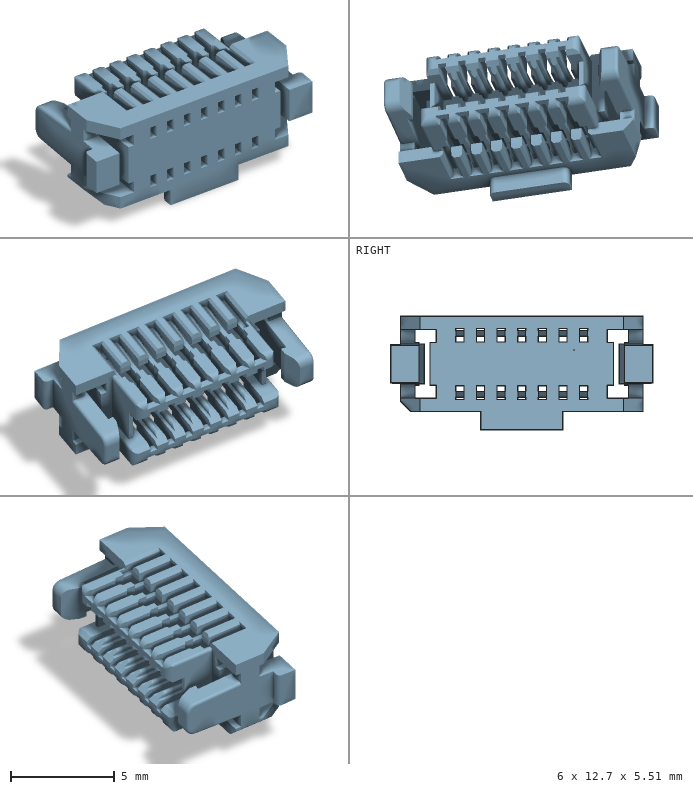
import cadquery as cq
contact_count = 7
pitch = 1.0
slot_positions = [(i - (contact_count - 1) / 2) * pitch for i in range(contact_count)]
land_positions = [y + pitch / 2 for y in slot_positions[:-1]]

overall_width = 12.71
overall_height = 5.51

rear_x = 6.0
front_x = 2.82
half_width = 5.885
half_height = 2.315
plate_inner_z = 1.66
rear_chamfer_x = 1.55
rear_chamfer_y = 0.95
key_chamfer = 0.5
core_half_width = 4.46
core_half_height = 1.045
neck_half_width = 4.15
wall_front_x = 3.13
wall_rear_x = 4.21
wall_inner_y = 5.165

arm_inner_y = 4.993
arm_tip_half_height = 0.92
arm_tip_radius = 0.47
arm_edge_radius = 0.15
arm_rear_half_height = 0.97
lug_half_height = 0.9
hook_inner_y = 4.715
hook_tip_y = 5.065
hook_start_x = 0.894
hook_end_x = 1.256
hook_root_x = 1.21
lug_front_x = 5.0
lug_outer_y = overall_width / 2
lug_radius = 0.2

shelf_tip_x = 0.25
shelf_outer_z = 1.975
shelf_inner_z = 0.92
upper_shelf_half_width = 3.85
lower_shelf_half_width = 4.15
tip_radius = 0.35
shelf_side_radius = 0.15
lip_height = 0.19
lip_length = 0.26
lower_inner_radius = 0.12
cheek_front_x = 1.2
cavity_half_width = 3.62

key_ridge_width = 0.28
key_ridge_height = 0.25

slot_width = 0.38
web_rear_x = shelf_tip_x + tip_radius
web_outer_z = shelf_outer_z - tip_radius
web_inner_z = 1.335
channel_inner_z = 1.065
mouth_width = 0.72
step_start_x = 1.93
step_end_x = 2.03
step_width = 0.65
tooth_end_x = 2.49
groove_width = 0.76
rib_bottom_z = 1.715
ramp_start_x = 3.41
end_ramp_start_x = 3.14
ramp_end_x = 4.35
ramp_drop = 0.15

pocket_rear_x = 4.855
pocket_half_width = 3.65
pocket_edge_chamfer = 0.15
bar_z = 1.74
bar_ramp_rise = 0.12
end_bar_inner_y = 3.0

rib_front_x = 2.985
rib_width = 0.54
rib_edge_chamfer = 0.12
rib_kink_z = 2.045
rib_setback = 0.06

foot_front_x = 5.245
foot_half_width = 1.99
foot_height = overall_height - 2 * half_height
foot_radius = 0.3


def box(x0, x1, y0, y1, z0, z1):
    """Box between two opposite corners."""
    return cq.Workplane("XY").box(x1 - x0, y1 - y0, z1 - z0, centered=False).translate((x0, y0, z0))


def side_prism(points, y0, y1):
    """Prism of an XZ outline between two Y positions."""
    return cq.Workplane("XZ").polyline(points).close().extrude(y0 - y1).translate((0, y0, 0))


def plan_prism(points, z0, z1):
    """Prism of an XY outline between two Z positions."""
    return cq.Workplane("XY").workplane(offset=z0).polyline(points).close().extrude(z1 - z0)


def end_prism(points, x0, x1):
    """Prism of a YZ outline between two X positions."""
    return cq.Workplane("YZ").workplane(offset=x0).polyline(points).close().extrude(x1 - x0)


def on_both_sides(shape, plane):
    """The shape together with its mirror image."""
    return shape.union(shape.mirror(plane))


def make_plate():
    """Full-width plate with its rear corners cut off."""
    corner_x = rear_x - rear_chamfer_x
    corner_y = half_width - rear_chamfer_y
    outline = [
        (front_x, -half_width),
        (corner_x, -half_width),
        (rear_x, -corner_y),
        (rear_x, corner_y),
        (corner_x, half_width),
        (front_x, half_width),
    ]
    return plan_prism(outline, plate_inner_z, half_height)


def make_housing():
    """Two plates joined by the stepped core and the two end walls."""
    housing = on_both_sides(make_plate(), "XY")
    housing = housing.union(
        box(front_x, rear_x, -neck_half_width, neck_half_width, -plate_inner_z, plate_inner_z)
    )
    housing = housing.union(
        box(front_x, rear_x, -core_half_width, core_half_width, -core_half_height, core_half_height)
    )
    wall = box(wall_front_x, wall_rear_x, wall_inner_y, half_width, -plate_inner_z, plate_inner_z)
    housing = housing.union(on_both_sides(wall, "XZ"))
    key_edge = [
        (-half_width, -half_height),
        (-half_width + key_chamfer, -half_height),
        (-half_width, -half_height + key_chamfer),
    ]
    return housing.cut(end_prism(key_edge, front_x, rear_x))


def make_arm():
    """Hooked latch arm in front of the +Y end wall."""
    outline = [
        (0, half_width),
        (0, hook_tip_y),
        (hook_start_x, hook_inner_y),
        (hook_end_x, hook_inner_y),
        (hook_root_x, arm_inner_y),
        (wall_rear_x, arm_inner_y),
        (wall_rear_x, half_width),
    ]
    plan = plan_prism(outline, -half_height, half_height)
    profile_points = [
        (0, -arm_tip_half_height),
        (wall_front_x, -core_half_height),
        (wall_rear_x, -core_half_height),
        (wall_rear_x, core_half_height),
        (wall_front_x, core_half_height),
        (0, arm_tip_half_height),
    ]
    profile = side_prism(profile_points, 0, lug_outer_y).edges("|Y and <X").fillet(arm_tip_radius)
    arm = plan.intersect(profile)
    outer_edges = arm.faces(">Y").edges("not(>X)")
    return cq.Workplane(outer_edges.fillet(arm_edge_radius).val())


def make_lug():
    """Tapered bar behind the +Y end wall, ending in the locating lug."""
    outline = [
        (wall_rear_x, arm_inner_y),
        (rear_x, arm_inner_y),
        (rear_x, lug_outer_y),
        (lug_front_x, lug_outer_y),
        (lug_front_x, half_width),
        (wall_rear_x, half_width),
    ]
    plan = plan_prism(outline, -half_height, half_height)
    plan = plan.edges(cq.selectors.NearestToPointSelector((lug_front_x, lug_outer_y, 0))).fillet(lug_radius)
    taper = [
        (wall_rear_x, -arm_rear_half_height),
        (rear_x, -lug_half_height),
        (rear_x, lug_half_height),
        (wall_rear_x, arm_rear_half_height),
    ]
    return plan.intersect(side_prism(taper, 0, lug_outer_y))


def make_shelf(shelf_half_width, inner_radius):
    """Upper mating shelf with key ridges: side, plan and end outlines intersected."""
    ridge_tip_z = shelf_inner_z - key_ridge_height
    lip_slope = lip_length / lip_height
    lip_z = shelf_inner_z + lip_height
    ridge_front_x = shelf_tip_x + lip_slope * (lip_z - ridge_tip_z)
    profile_points = [
        (shelf_tip_x, lip_z),
        (ridge_front_x, ridge_tip_z),
        (front_x, ridge_tip_z),
        (front_x, shelf_outer_z),
        (shelf_tip_x, shelf_outer_z),
    ]
    profile = side_prism(profile_points, -shelf_half_width, shelf_half_width)
    profile = profile.edges("|Y and >Z and <X").fillet(tip_radius)
    body = box(
        shelf_tip_x, front_x, -shelf_half_width, shelf_half_width, shelf_inner_z, shelf_outer_z
    )
    body = body.edges("|Z and <X").fillet(tip_radius)
    side_limit = box(
        shelf_tip_x, front_x, -shelf_half_width, shelf_half_width, 0, shelf_outer_z
    )
    side_limit = side_limit.edges("|X and >Z").fillet(shelf_side_radius)
    body = body.intersect(side_limit)
    if inner_radius > 0:
        inner_limit = box(
            shelf_tip_x, front_x, -shelf_half_width, shelf_half_width, shelf_inner_z, shelf_outer_z
        )
        body = body.intersect(inner_limit.edges("|X and <Z").fillet(inner_radius))
    for y in land_positions:
        body = body.union(make_key_ridge(y))
    return body.intersect(profile)


def make_key_ridge(y):
    """Round-topped ridge along X on the cavity side of the upper shelf."""
    half = key_ridge_width / 2
    tip_z = shelf_inner_z - key_ridge_height
    outline = (
        cq.Workplane("YZ")
        .workplane(offset=shelf_tip_x)
        .moveTo(y - half, shelf_inner_z)
        .lineTo(y - half, tip_z + half)
        .threePointArc((y, tip_z), (y + half, tip_z + half))
        .lineTo(y + half, shelf_inner_z)
        .close()
    )
    return outline.extrude(front_x - shelf_tip_x)


def make_cheek():
    """Side cheek closing the +Y end of the mating cavity between the shelves."""
    return box(
        cheek_front_x, front_x, cavity_half_width, upper_shelf_half_width, -shelf_inner_z, shelf_inner_z
    )


def make_pocket():
    """Open-fronted recess over the contacts, with bevelled ends."""
    rise_z = bar_z + bar_ramp_rise
    profile = [
        (tooth_end_x, bar_z),
        (ramp_start_x, bar_z),
        (ramp_end_x, rise_z),
        (pocket_rear_x, rise_z),
        (pocket_rear_x, half_height),
        (tooth_end_x, half_height),
    ]
    bevel_y = pocket_half_width + pocket_edge_chamfer
    bevel = [
        (-bevel_y, half_height),
        (-pocket_half_width, half_height - pocket_edge_chamfer),
        (pocket_half_width, half_height - pocket_edge_chamfer),
        (bevel_y, half_height),
    ]
    pocket = side_prism(profile, -end_bar_inner_y, end_bar_inner_y)
    end_recess = box(tooth_end_x, pocket_rear_x, end_bar_inner_y, pocket_half_width, bar_z, half_height)
    pocket = pocket.union(on_both_sides(end_recess, "XZ"))
    return pocket.union(end_prism(bevel, front_x, pocket_rear_x))


def make_channel(floor_ramp_x):
    """Everything removed for one contact of the upper row, centred on y = 0."""
    half_slot = slot_width / 2
    half_step = step_width / 2
    half_groove = groove_width / 2
    half_mouth = mouth_width / 2
    tunnel = box(web_rear_x, rear_x, -half_slot, half_slot, channel_inner_z, rib_bottom_z)
    tip_notch = box(shelf_tip_x, front_x, -half_slot, half_slot, 0, web_inner_z)
    shelf_slot = box(web_rear_x, front_x, -half_slot, half_slot, 0, shelf_outer_z)
    mouth_points = [
        (shelf_tip_x, -half_mouth),
        (web_rear_x, -half_slot),
        (web_rear_x, half_slot),
        (shelf_tip_x, half_mouth),
    ]
    mouth = plan_prism(mouth_points, web_outer_z, shelf_outer_z)
    step_points = [
        (step_start_x, -half_slot),
        (step_end_x, -half_step),
        (tooth_end_x, -half_step),
        (tooth_end_x, half_step),
        (step_end_x, half_step),
        (step_start_x, half_slot),
    ]
    step = plan_prism(step_points, channel_inner_z, half_height)
    ramp_z = channel_inner_z - ramp_drop
    groove_points = [
        (tooth_end_x, channel_inner_z),
        (floor_ramp_x, channel_inner_z),
        (ramp_end_x, ramp_z),
        (pocket_rear_x, ramp_z),
        (pocket_rear_x, half_height),
        (tooth_end_x, half_height),
    ]
    groove = side_prism(groove_points, -half_groove, half_groove)
    return tunnel.union(tip_notch).union(shelf_slot).union(mouth).union(step).union(groove)


def make_rib():
    """Bevelled rib bridging one contact channel, centred on y = 0."""
    profile = [
        (rib_front_x, rib_bottom_z),
        (pocket_rear_x, rib_bottom_z),
        (pocket_rear_x, half_height),
        (rib_front_x + rib_setback, half_height),
        (rib_front_x, rib_kink_z),
    ]
    half = rib_width / 2
    section = [
        (-half, rib_bottom_z),
        (half, rib_bottom_z),
        (half, half_height - rib_edge_chamfer),
        (half - rib_edge_chamfer, half_height),
        (-half + rib_edge_chamfer, half_height),
        (-half, half_height - rib_edge_chamfer),
    ]
    return side_prism(profile, -half, half).intersect(end_prism(section, rib_front_x, pocket_rear_x))


def make_foot():
    """Mounting foot at the rear of the underside."""
    foot = box(
        foot_front_x, rear_x, -foot_half_width, foot_half_width, -half_height - foot_height, -half_height
    )
    return foot.edges("|Z and <X").fillet(foot_radius)


def build():
    """Assemble the whole housing."""
    part = make_housing()
    part = part.union(make_shelf(upper_shelf_half_width, 0))
    part = part.union(make_shelf(lower_shelf_half_width, lower_inner_radius).mirror("XY"))
    part = part.union(on_both_sides(make_cheek(), "XZ"))
    part = part.cut(on_both_sides(make_pocket(), "XY"))
    rib = on_both_sides(make_rib(), "XY")
    for y in slot_positions:
        is_end = y in (slot_positions[0], slot_positions[-1])
        channel = make_channel(end_ramp_start_x if is_end else ramp_start_x)
        part = part.cut(on_both_sides(channel, "XY").translate((0, y, 0)))
    for y in slot_positions:
        part = part.union(rib.translate((0, y, 0)))
    part = part.union(on_both_sides(make_arm(), "XZ"))
    part = part.union(on_both_sides(make_lug(), "XZ"))
    return part.union(make_foot())


result = build()